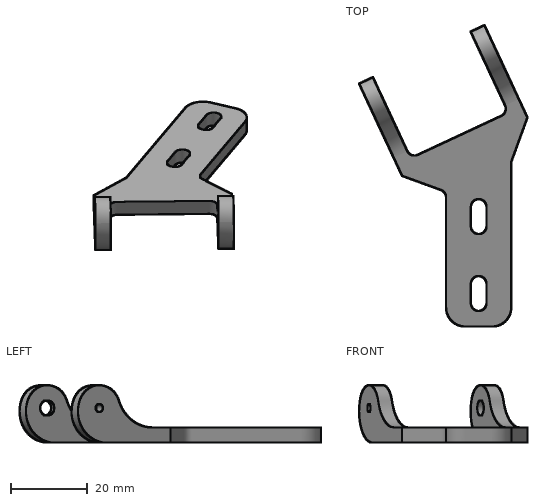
import cadquery as cq
import math

thickness = 4.0
stem_width = 17.0
stem_corner_radius = 5.0
slot_width = 4.0
slot_length = 9.0
slot_positions = (8.6, 28.6)

fork_angle = 25
fork_width = 36.0
fork_corner_x = -19.9
overall_length = 78.45
arm_length = 26.5
arm_thickness = thickness
web_depth = 3.3
inner_fillet_radius = 2.05
fork_sin = math.sin(math.radians(fork_angle))
fork_cos = math.cos(math.radians(fork_angle))
fork_corner_y = overall_length - fork_width * fork_sin - arm_length * fork_cos
flank_angle = 45 - fork_angle

head_radius = 6.0
overall_height = 15.0
lug_sweep_radius = 10.05
left_hole_diameter = 2.05
right_hole_diameter = 4.0
heel_radius = 8.15
counterbore_diameter = 7.5
counterbore_depth = arm_thickness / 2
head_z = overall_height - head_radius
heel_tilt = math.asin((head_z - heel_radius) / (heel_radius - head_radius))
heel_y = arm_length - heel_radius
head_y = heel_y + (heel_radius - head_radius) * math.cos(heel_tilt)


def place_fork(body):
    """Move a body from the fork's own frame to its place on the stem."""
    turned = body.rotate((0, 0, 0), (0, 0, 1), fork_angle)
    return turned.translate((fork_corner_x, fork_corner_y, 0))


def make_plate():
    """Stem and the wedge that widens it to the base of the fork."""
    half = stem_width / 2
    flank_slope = math.tan(math.radians(flank_angle))
    right_x = fork_corner_x + fork_width * fork_cos
    right_y = fork_corner_y + fork_width * fork_sin
    left_shoulder_y = fork_corner_y - (-half - fork_corner_x) * flank_slope
    right_shoulder_y = right_y - (right_x - half) / flank_slope
    web_x = -web_depth * fork_sin
    web_y = web_depth * fork_cos
    outline = [
        (-half, 0),
        (half, 0),
        (half, right_shoulder_y),
        (right_x, right_y),
        (right_x + web_x, right_y + web_y),
        (fork_corner_x + web_x, fork_corner_y + web_y),
        (fork_corner_x, fork_corner_y),
        (-half, left_shoulder_y),
    ]
    plate = cq.Workplane("XY").polyline(outline).close().extrude(thickness)
    plate = plate.edges("|Z and <Y").fillet(stem_corner_radius)
    shoulder = cq.selectors.NearestToPointSelector((-half, left_shoulder_y, thickness / 2))
    plate = plate.edges(shoulder).fillet(inner_fillet_radius)
    slots = (
        cq.Workplane("XY")
        .pushPoints([(0, y) for y in slot_positions])
        .slot2D(slot_length, slot_width, 90)
        .extrude(thickness)
    )
    return plate.cut(slots)


def make_arm(start_x, hole_diameter):
    """Arm with a round lug, drawn along the fork's length and height."""
    sweep_z = thickness + lug_sweep_radius
    centre_distance = head_radius + lug_sweep_radius
    tilt = math.asin((sweep_z - head_z) / centre_distance)
    sweep_y = head_y - centre_distance * math.cos(tilt)
    blend_y = head_y - head_radius * math.cos(tilt)
    blend_z = head_z + head_radius * math.sin(tilt)
    middle_angle = (math.pi / 2 - tilt) / 2
    sweep_middle = (
        sweep_y + lug_sweep_radius * math.sin(middle_angle),
        sweep_z - lug_sweep_radius * math.cos(middle_angle),
    )
    heel_middle = (
        heel_y + heel_radius * math.sqrt(0.5),
        heel_radius - heel_radius * math.sqrt(0.5),
    )
    heel_end = (
        head_y + head_radius * math.cos(heel_tilt),
        head_z + head_radius * math.sin(heel_tilt),
    )
    arm = (
        cq.Workplane("YZ", origin=(start_x, 0, 0))
        .lineTo(heel_y, 0)
        .threePointArc(heel_middle, heel_end)
        .threePointArc((head_y, overall_height), (blend_y, blend_z))
        .threePointArc(sweep_middle, (sweep_y, thickness))
        .lineTo(0, thickness)
        .close()
        .extrude(arm_thickness)
    )
    hole = (
        cq.Workplane("YZ", origin=(start_x, head_y, head_z))
        .circle(hole_diameter / 2)
        .extrude(arm_thickness)
    )
    return arm.cut(hole)


def make_counterbore():
    """Recess around the right arm's hole, cut from its outer face."""
    return (
        cq.Workplane("YZ", origin=(fork_width - counterbore_depth, head_y, head_z))
        .circle(counterbore_diameter / 2)
        .extrude(counterbore_depth)
    )


def make_inner_fillet(arm_face_x, inward):
    """Concave corner filler between an arm's inner face and the web."""
    r = inner_fillet_radius
    block = (
        cq.Workplane("XY")
        .center(arm_face_x + inward * r / 2, web_depth + r / 2)
        .rect(r, r)
        .extrude(thickness)
    )
    round_cut = (
        cq.Workplane("XY")
        .center(arm_face_x + inward * r, web_depth + r)
        .circle(r)
        .extrude(thickness)
    )
    return block.cut(round_cut)


right_arm_x = fork_width - arm_thickness
right_arm = make_arm(right_arm_x, right_hole_diameter).cut(make_counterbore())
fork = make_arm(0, left_hole_diameter).union(right_arm)
fork = fork.union(make_inner_fillet(arm_thickness, 1))
fork = fork.union(make_inner_fillet(right_arm_x, -1))
result = make_plate().union(place_fork(fork))